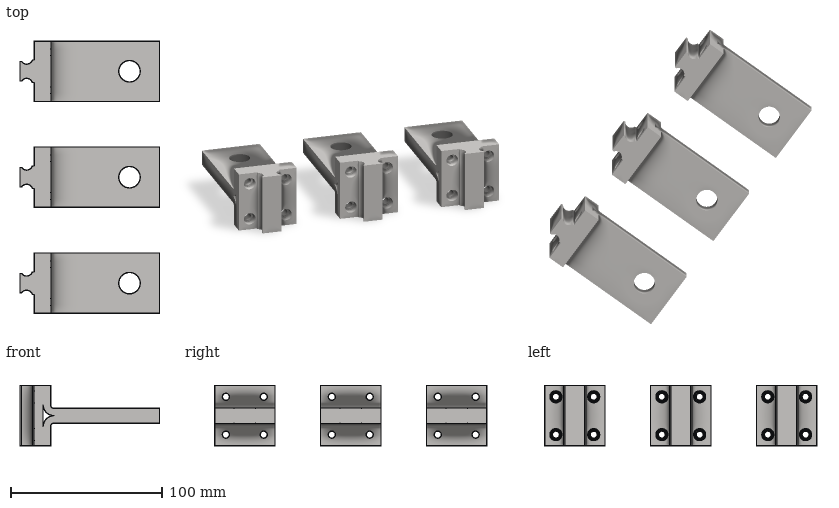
import cadquery as cq
import math

bracket_count = 3
bracket_pitch = 70.0

block_width = 40.0
block_height = 40.0
base_thickness = 6.0
leaf_thickness = 5.0

rail_depth = 9.5
rail_head_half_width = 6.5
rail_root_half_width = 7.5
rail_land = 1.2
rail_groove_radius = 4.0

bend_outer_radius = 7.0
bend_inner_radius = bend_outer_radius - leaf_thickness

plate_length = 70.0
plate_hole_diameter = 14.0
plate_hole_end_distance = 20.0

screw_spacing = 25.0
screw_hole_diameter = 4.5
counterbore_mouth_diameter = 8.0
counterbore_floor_diameter = 7.0
counterbore_depth = 3.5
step_diameter = 6.2
step_depth = 0.6

base_front_x = rail_depth
base_back_x = base_front_x + base_thickness
flange_back_x = base_back_x + leaf_thickness
bend_end_x = base_back_x + bend_outer_radius
plate_end_x = bend_end_x + plate_length
plate_hole_x = plate_end_x - plate_hole_end_distance


def make_block():
    """Solid upright block of base and flanges."""
    length = flange_back_x - base_front_x
    block = cq.Workplane("XY").box(length, block_width, block_height, centered=(False, True, True))
    return block.translate((base_front_x, 0, 0))


def make_rail():
    """Rail running along Z, with a round groove down each side."""
    groove_start_x = rail_land
    groove_end_x = rail_depth - rail_land
    return (
        cq.Workplane("XY", origin=(0, 0, -block_height / 2))
        .moveTo(0, -rail_head_half_width)
        .lineTo(groove_start_x, -rail_head_half_width)
        .radiusArc((groove_end_x, -rail_root_half_width), rail_groove_radius)
        .lineTo(base_front_x, -rail_root_half_width)
        .lineTo(base_front_x, rail_root_half_width)
        .lineTo(groove_end_x, rail_root_half_width)
        .radiusArc((groove_start_x, rail_head_half_width), rail_groove_radius)
        .lineTo(0, rail_head_half_width)
        .close()
        .extrude(block_height)
    )


def make_plate():
    """Plate of two leaves back to back, filleted into the flanges."""
    fillet_end_z = leaf_thickness + bend_inner_radius
    return (
        cq.Workplane("XZ", origin=(0, block_width / 2, 0))
        .moveTo(flange_back_x, -fillet_end_z)
        .radiusArc((bend_end_x, -leaf_thickness), bend_inner_radius)
        .lineTo(plate_end_x, -leaf_thickness)
        .lineTo(plate_end_x, leaf_thickness)
        .lineTo(bend_end_x, leaf_thickness)
        .radiusArc((flange_back_x, fillet_end_z), bend_inner_radius)
        .close()
        .extrude(block_width)
    )


def make_bend_gap():
    """Three-cornered gap left between the base and the two bends."""
    return (
        cq.Workplane("XZ", origin=(0, block_width / 2, 0))
        .moveTo(base_back_x, -bend_outer_radius)
        .radiusArc((bend_end_x, 0), bend_outer_radius)
        .radiusArc((base_back_x, bend_outer_radius), bend_outer_radius)
        .close()
        .extrude(block_width)
    )


def make_plate_hole():
    """Round hole through both leaves of the plate."""
    return (
        cq.Workplane("XY", origin=(plate_hole_x, 0, -leaf_thickness))
        .circle(plate_hole_diameter / 2)
        .extrude(2 * leaf_thickness)
    )


def make_screw_holes():
    """Four screw holes along X, each entered through a tapered counterbore and a step."""
    narrowing = (counterbore_mouth_diameter - counterbore_floor_diameter) / 2
    taper = math.degrees(math.atan2(narrowing, counterbore_depth))
    base_face = cq.Workplane("YZ", origin=(base_front_x, 0, 0))
    pattern = base_face.rect(screw_spacing, screw_spacing, forConstruction=True).vertices()
    counterbores = pattern.circle(counterbore_mouth_diameter / 2).extrude(counterbore_depth, taper=taper)
    steps = pattern.circle(step_diameter / 2).extrude(counterbore_depth + step_depth)
    shanks = pattern.circle(screw_hole_diameter / 2).extrude(flange_back_x - base_front_x)
    return shanks.union(steps).union(counterbores)


def make_bracket():
    """One complete bracket, centred on Y and Z."""
    body = make_block().union(make_rail()).union(make_plate())
    return body.cut(make_bend_gap()).cut(make_plate_hole()).cut(make_screw_holes())


bracket = make_bracket()
brackets = []
for index in range(bracket_count):
    offset_y = (index - (bracket_count - 1) / 2) * bracket_pitch
    brackets.append(bracket.translate((0, offset_y, 0)).val())

result = cq.Compound.makeCompound(brackets)